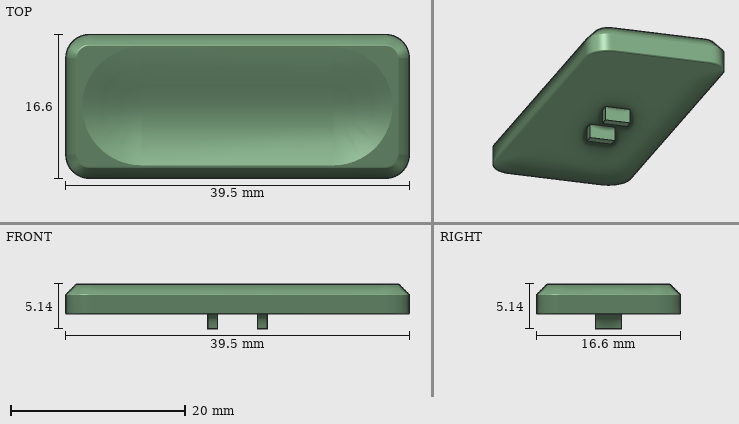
import cadquery as cq
import math

LENGTH = 39.49
WIDTH = 16.55
TOTAL_HEIGHT = 5.14
POST_HEIGHT = 1.67
BODY_HEIGHT = TOTAL_HEIGHT - POST_HEIGHT
CORNER_RADIUS = 2.75

TOP_BEVEL = 1.23
TOP_EDGE_ROUND = 0.3
BEVEL_BASE_ROUND = 0.15
BOTTOM_ROUND = 0.2

DISH_RADIUS = 6.8
DISH_END_MARGIN = 1.92
DISH_CENTER_X = LENGTH / 2 - DISH_END_MARGIN - DISH_RADIUS
DISH_DEPTH = 0.85
DISH_ARC_RADIUS = (DISH_RADIUS**2 + DISH_DEPTH**2) / (2 * DISH_DEPTH)

POST_SPACING = 5.7
POST_LENGTH_X = 1.15
POST_LENGTH_Y = 3.0


def make_body():
    """Rounded slab, its bottom at Z = 0, with a softened 45 degree top bevel."""
    slab = cq.Workplane("XY").box(LENGTH, WIDTH, BODY_HEIGHT, centered=(True, True, False))
    slab = slab.edges("|Z").fillet(CORNER_RADIUS)
    slab = slab.faces(">Z").edges().chamfer(TOP_BEVEL)
    slab = slab.faces(">Z").edges().fillet(TOP_EDGE_ROUND)
    bevel_base = BODY_HEIGHT - TOP_BEVEL
    base_band = cq.selectors.BoxSelector(
        (-LENGTH, -WIDTH, bevel_base - BEVEL_BASE_ROUND),
        (LENGTH, WIDTH, bevel_base + BEVEL_BASE_ROUND),
    )
    slab = slab.edges(base_band).fillet(BEVEL_BASE_ROUND)
    return slab.faces("<Z").edges().fillet(BOTTOM_ROUND)


def dish_half_profile(plane, x):
    """Half of the dish cross-section: flat top, vertical centre line and circular floor arc."""
    half_angle = math.asin(DISH_RADIUS / DISH_ARC_RADIUS) / 2
    mid_offset = DISH_ARC_RADIUS * math.sin(half_angle)
    mid_rise = DISH_ARC_RADIUS * (1 - math.cos(half_angle))
    return (
        cq.Workplane(plane, origin=(x, 0, BODY_HEIGHT))
        .moveTo(0, 0)
        .lineTo(0, -DISH_DEPTH)
        .threePointArc((mid_offset, mid_rise - DISH_DEPTH), (DISH_RADIUS, 0))
        .close()
    )


def cut_dish(body):
    """Cut a shallow trough with a circular floor, closed by a spherical cap at each end."""
    half_trough = dish_half_profile("YZ", -DISH_CENTER_X).extrude(2 * DISH_CENTER_X)
    body = body.cut(half_trough).cut(half_trough.mirror("XZ"))
    for x in (-DISH_CENTER_X, DISH_CENTER_X):
        body = body.cut(dish_half_profile("XZ", x).revolve(360, (0, 0), (0, 1)))
    return body


def make_posts():
    """Two rectangular posts hanging below the body."""
    return (
        cq.Workplane("XY")
        .rarray(POST_SPACING, 1, 2, 1)
        .rect(POST_LENGTH_X, POST_LENGTH_Y)
        .extrude(-POST_HEIGHT)
    )


result = cut_dish(make_body()).union(make_posts())